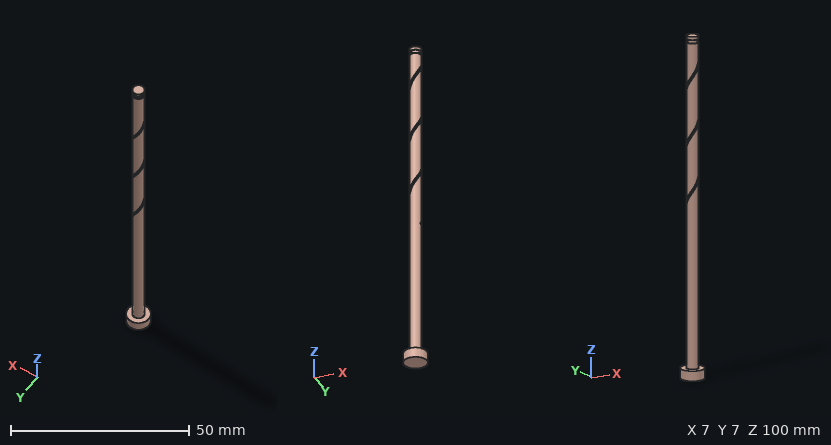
import cadquery as cq

total_length = 100.0
head_diameter = 7.0
head_height = 3.0
shaft_diameter = 3.5
shaft_radius = shaft_diameter / 2

ring_groove_width = 1.0
ring_groove_depth = 0.3
tip_land = 1.0

helix_turns = 3
helix_height = 50.0
helix_start = 44.0
helix_pitch = helix_height / helix_turns
helix_groove_radius = 0.25


def make_pin():
    head = cq.Workplane("XY").circle(head_diameter / 2).extrude(head_height)
    shaft = cq.Workplane("XY").circle(shaft_radius).extrude(total_length)
    return head.union(shaft)


def make_ring_groove():
    groove_bottom = total_length - tip_land - ring_groove_width
    return (
        cq.Workplane("XY", origin=(0, 0, groove_bottom))
        .circle(head_diameter / 2)
        .circle(shaft_radius - ring_groove_depth)
        .extrude(ring_groove_width)
    )


def make_helical_groove():
    helix = cq.Wire.makeHelix(helix_pitch, helix_height, shaft_radius)
    path = cq.Workplane("XY").newObject([helix])
    start_plane = cq.Plane(
        origin=helix.startPoint(),
        xDir=(1, 0, 0),
        normal=helix.tangentAt(0),
    )
    cutter = cq.Workplane(start_plane).circle(helix_groove_radius).sweep(path, isFrenet=True)
    return cutter.translate((0, 0, helix_start))


result = make_pin().cut(make_ring_groove()).cut(make_helical_groove())